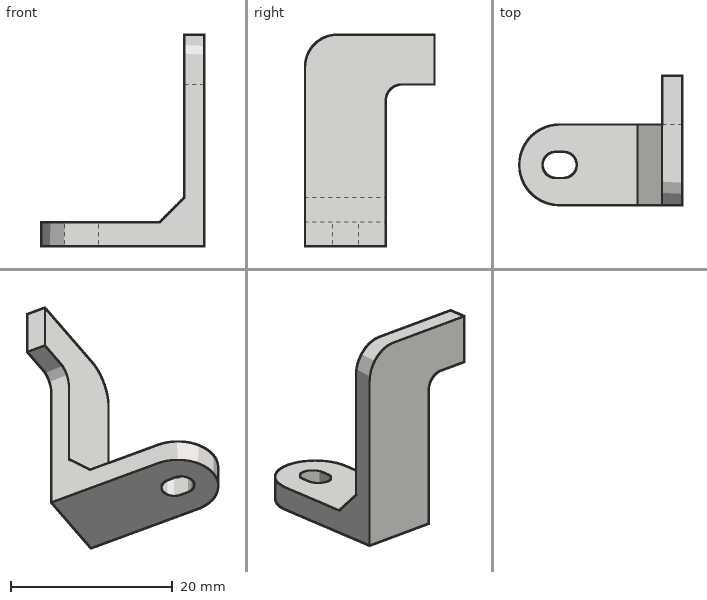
import cadquery as cq

length = 20.15
depth = 16.02
height = 26.17

foot_width = 10.0
foot_thickness = 3.0
wall_thickness = 2.5
gusset_leg = 3.0

arm_height = 6.18
outer_corner_radius = 4.0
inner_corner_radius = 2.0

slot_length = 4.2
slot_width = 3.2

foot_end_radius = foot_width / 2
wall_face_x = length - wall_thickness


def make_foot():
    """Flat foot with a full-round free end and a slot through it."""
    foot = (
        cq.Workplane("XY")
        .moveTo(foot_end_radius, 0)
        .lineTo(length, 0)
        .lineTo(length, foot_width)
        .lineTo(foot_end_radius, foot_width)
        .threePointArc((0, foot_end_radius), (foot_end_radius, 0))
        .close()
        .extrude(foot_thickness)
    )
    slot = (
        cq.Workplane("XY")
        .center(foot_end_radius, foot_end_radius)
        .slot2D(slot_length, slot_width)
        .extrude(foot_thickness)
    )
    return foot.cut(slot)


def make_wall():
    """Upright wall with a sideways arm, rounded at its two bends."""
    arm_bottom = height - arm_height
    wall = (
        cq.Workplane("YZ", origin=(wall_face_x, 0, 0))
        .polyline([
            (0, 0),
            (foot_width, 0),
            (foot_width, arm_bottom),
            (depth, arm_bottom),
            (depth, height),
            (0, height),
        ])
        .close()
        .extrude(wall_thickness)
    )
    mid_wall_x = wall_face_x + wall_thickness / 2
    outer_corner = cq.selectors.NearestToPointSelector((mid_wall_x, 0, height))
    inner_corner = cq.selectors.NearestToPointSelector((mid_wall_x, foot_width, arm_bottom))
    wall = wall.edges(outer_corner).fillet(outer_corner_radius)
    return wall.edges(inner_corner).fillet(inner_corner_radius)


def make_gusset():
    """Sloped fill in the corner between foot and wall."""
    return (
        cq.Workplane("XZ")
        .polyline([
            (wall_face_x - gusset_leg, foot_thickness),
            (wall_face_x, foot_thickness),
            (wall_face_x, foot_thickness + gusset_leg),
        ])
        .close()
        .extrude(-foot_width)
    )


result = make_foot().union(make_wall()).union(make_gusset()).clean()